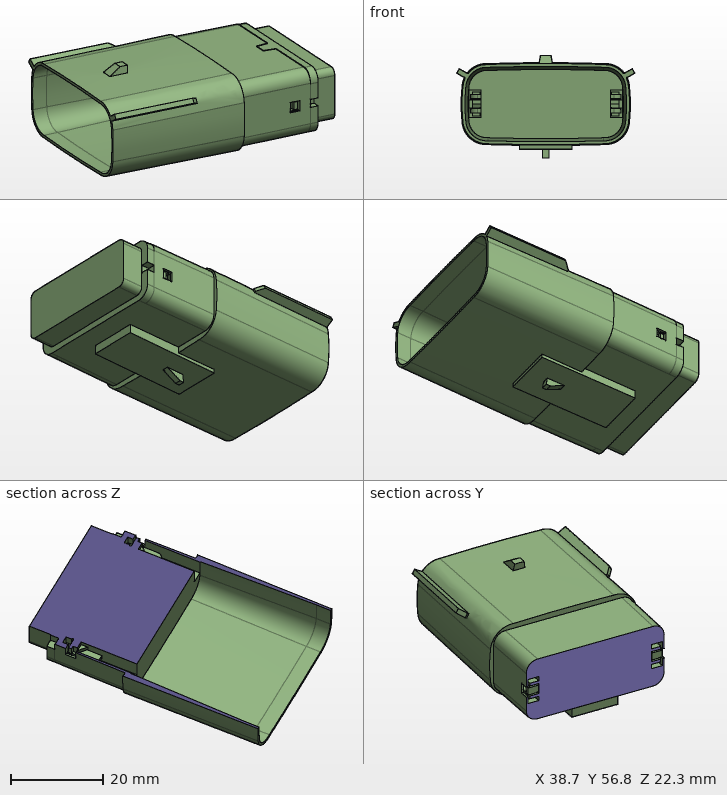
import cadquery as cq
import math

length = 56.75
shroud_rear_y = 32.6
seam_y = 49.6
cap_rear_y = 51.55

shroud_drop = 0.05
mouth_half_width = 18.15
mouth_half_height = 8.8
rear_growth = 0.2
side_bow = 0.2
mouth_straight_x = 12.5
mouth_straight_z = 3.7
rim_wall = 0.6
rim_depth = 3.4
cavity_depth = 31.2
floor_wall = 1.3

body_half_width = 17.15
body_front_growth = 0.2
body_half_height = 7.55
body_corner = 2.85
cap_step = 0.14
plug_width = 30.4
plug_height = 12.05
plug_corner = 1.55
tab_tip_y = 46.65
tab_root_width = 3.7
tab_tip_width = 3.05
cap_notch_height = 1.9
cap_notch_depth = 1.8

pocket_inner_x = 14.1
pocket_outer_x = 16.7
pocket_height = 5.9
pocket_end_y = 46.95
slot_inner_x = 14.3
slot_outer_x = 15.85
slot_height = 5.2
slot_end_y = 48.25
window_size = 2.4
finger_outer_x = 16.3
finger_front_y = 39.7
finger_height = 0.95
finger_mid_z = 1.55
finger_round = 1.5
tooth_height = 1.75
tooth_front_y = 44.7
tooth_step_y = 45.75
tooth_rear_y = 46.6
tooth_ramp_y = 43.15
tooth_low_x = 15.9
tooth_high_x = 16.7

wing_angle = 30.0
wing_thickness = 1.15
wing_reach = 3.4
overall_width = 38.65
wing_tip_x = overall_width / 2
wing_tip_z = 6.65
wing_length = 21.0
wing_bevel = 1.6

clip_top_z = 10.5
clip_base_z = 8.25
clip_rear_base_y = 12.8
clip_rear_top_y = 13.05
clip_crest_y = 11.25
clip_toe_y = 7.65
clip_base_width = 3.1
clip_top_width = 2.3

rail_half_width = 5.75
rail_front_y = 22.25
rail_rear_y = 46.5
rail_front_z = -9.9
rail_rear_z = -9.65
rail_root_z = -6.8
shroud_floor_root_z = -8.5
barb_width = 1.5
overall_height = 22.25
barb_bottom_z = clip_top_z - overall_height
barb_rear_y = 31.6
barb_tip_rear_y = 27.7
barb_tip_front_y = 26.7
barb_front_y = 26.95


def bowed_outline(y, inset, growth=0.0):
    """Closed oblong wire at position y: four gently bowed sides joined by rounded corners."""
    width = mouth_half_width + growth - inset
    height = mouth_half_height + growth - inset
    flat_x = mouth_straight_x
    flat_z = mouth_straight_z + growth
    corner_x = width - side_bow
    corner_z = height - side_bow
    mid_x = flat_x + (corner_x - flat_x) * math.sin(math.pi / 4)
    mid_z = flat_z + (corner_z - flat_z) * math.sin(math.pi / 4)
    plane = cq.Plane(origin=(0, y, -shroud_drop), xDir=(1, 0, 0), normal=(0, -1, 0))
    return (
        cq.Workplane(plane)
        .moveTo(-flat_x, corner_z)
        .threePointArc((0, height), (flat_x, corner_z))
        .threePointArc((mid_x, mid_z), (corner_x, flat_z))
        .threePointArc((width, 0), (corner_x, -flat_z))
        .threePointArc((mid_x, -mid_z), (flat_x, -corner_z))
        .threePointArc((0, -height), (-flat_x, -corner_z))
        .threePointArc((-mid_x, -mid_z), (-corner_x, -flat_z))
        .threePointArc((-width, 0), (-corner_x, flat_z))
        .threePointArc((-mid_x, mid_z), (-flat_x, corner_z))
        .close()
        .wire()
        .val()
    )


def loft(*wires):
    return cq.Workplane(obj=cq.Solid.makeLoft(list(wires), True))


def rounded_bar(front_y, rear_y, width, height, corner, front_growth=0.0):
    """Bar along Y with rounded long edges; front_growth widens its front end on both sides."""
    front = cq.Sketch().rect(width + 2 * front_growth, height).vertices().fillet(corner)
    rear = cq.Sketch().rect(width, height).vertices().fillet(corner)
    rear = rear.moved(cq.Location(cq.Vector(0, 0, front_y - rear_y)))
    return cq.Workplane("XZ", origin=(0, front_y, 0)).placeSketch(front, rear).loft(ruled=True)


def box(x_range, y_range, z_range):
    size = [high - low for low, high in (x_range, y_range, z_range)]
    corner = (x_range[0], y_range[0], z_range[0])
    return cq.Workplane("XY").box(*size, centered=False).translate(corner)


def side_profile(points, width):
    """Extrude a (Y, Z) polygon symmetrically across X."""
    return cq.Workplane("YZ").polyline(points).close().extrude(width / 2, both=True)


def both_sides(shape):
    return shape.union(shape.mirror("YZ"))


def make_shroud():
    return loft(bowed_outline(0, 0), bowed_outline(shroud_rear_y, 0, rear_growth))


def make_cavity():
    """Mouth opening: a straight rim followed by a taper to the flat cavity floor."""
    rim = loft(bowed_outline(0, rim_wall), bowed_outline(rim_depth, rim_wall))
    main = loft(bowed_outline(rim_depth, rim_wall), bowed_outline(cavity_depth, floor_wall))
    return rim.union(main)


def make_body():
    width = 2 * body_half_width
    height = 2 * body_half_height
    return rounded_bar(cavity_depth, seam_y, width, height, body_corner, body_front_growth)


def make_cap():
    """Slightly lower ring behind the body seam, notched on both sides."""
    height = 2 * body_half_height - cap_step
    cap = rounded_bar(seam_y, cap_rear_y, 2 * body_half_width, height, body_corner)
    cap = cap.translate((0, 0, -cap_step / 2))
    notch = box(
        (body_half_width - cap_notch_depth, body_half_width),
        (seam_y, cap_rear_y),
        (-cap_notch_height / 2, cap_notch_height / 2),
    )
    return cap.cut(both_sides(notch))


def make_plug():
    return rounded_bar(cap_rear_y, length, plug_width, plug_height, plug_corner)


def make_tab_recess():
    """Shallow trapezoid in the top of the body, reaching forward from the cap."""
    return (
        cq.Workplane("XY", origin=(0, 0, body_half_height - cap_step))
        .polyline([
            (-tab_root_width / 2, seam_y),
            (-tab_tip_width / 2, tab_tip_y),
            (tab_tip_width / 2, tab_tip_y),
            (tab_root_width / 2, seam_y),
        ])
        .close()
        .extrude(cap_step)
    )


def make_latch_pocket():
    """Space around a latch: a stepped pocket in the cavity floor that opens into a side window.

    Two round-nosed fingers and a stepped tooth, ramped on its lower half, are left standing in it.
    """
    pocket = box(
        (pocket_inner_x, pocket_outer_x),
        (cavity_depth, pocket_end_y),
        (-pocket_height / 2, pocket_height / 2),
    )
    slot = box(
        (slot_inner_x, slot_outer_x),
        (cavity_depth, slot_end_y),
        (-slot_height / 2, slot_height / 2),
    )
    pocket = pocket.union(slot)
    finger = box(
        (pocket_inner_x, finger_outer_x),
        (finger_front_y, slot_end_y),
        (-finger_height / 2, finger_height / 2),
    ).edges("<Y and >X").fillet(finger_round)
    for z in (-finger_mid_z, finger_mid_z):
        pocket = pocket.cut(finger.translate((0, 0, z)))
    window = box(
        (pocket_inner_x, body_half_width + body_front_growth),
        (pocket_end_y - window_size, pocket_end_y),
        (-window_size / 2, window_size / 2),
    )
    tooth_z = (-tooth_height / 2, tooth_height / 2)
    tooth_low = box((pocket_inner_x, tooth_low_x), (tooth_front_y, tooth_step_y), tooth_z)
    tooth_high = box((pocket_inner_x, tooth_high_x), (tooth_step_y, tooth_rear_y), tooth_z)
    tooth_ramp = (
        cq.Workplane("XY", origin=(0, 0, -tooth_height / 2))
        .polyline([
            (pocket_inner_x, tooth_ramp_y),
            (tooth_low_x, tooth_front_y),
            (pocket_inner_x, tooth_front_y),
        ])
        .close()
        .extrude(tooth_height / 2)
    )
    return pocket.union(window).cut(tooth_low).cut(tooth_high).cut(tooth_ramp)


def make_wing():
    """Inclined flat rail at an upper corner, bevelled at its rear outer end."""
    wing = (
        box((-wing_reach, 0), (0, wing_length), (0, wing_thickness))
        .edges(">X and >Y")
        .chamfer(wing_bevel)
    )
    return wing.rotate((0, 0, 0), (0, 1, 0), -wing_angle).translate((wing_tip_x, 0, wing_tip_z))


def make_clip():
    """Ramped catch on top whose sides lean inwards."""
    ramp = side_profile(
        [
            (clip_rear_base_y, clip_base_z),
            (clip_rear_top_y, clip_top_z),
            (clip_crest_y, clip_top_z),
            (clip_toe_y, clip_base_z),
        ],
        clip_base_width,
    )
    leaning_sides = (
        cq.Workplane("XZ")
        .polyline([
            (-clip_base_width / 2, clip_base_z),
            (-clip_top_width / 2, clip_top_z),
            (clip_top_width / 2, clip_top_z),
            (clip_base_width / 2, clip_base_z),
        ])
        .close()
        .extrude(-length)
    )
    return ramp.intersect(leaning_sides)


def make_rail():
    """Wide rail under the body that ends below the shroud, with a narrow barb."""
    rail = side_profile(
        [
            (rail_rear_y, rail_root_z),
            (rail_rear_y, rail_rear_z),
            (rail_front_y, rail_front_z),
            (rail_front_y, shroud_floor_root_z),
            (shroud_rear_y, shroud_floor_root_z),
            (shroud_rear_y, rail_root_z),
        ],
        2 * rail_half_width,
    )
    barb = side_profile(
        [
            (barb_rear_y, rail_rear_z),
            (barb_tip_rear_y, barb_bottom_z),
            (barb_tip_front_y, barb_bottom_z),
            (barb_front_y, rail_rear_z),
        ],
        barb_width,
    )
    return rail.union(barb)


housing = (
    make_shroud()
    .union(make_body())
    .union(make_cap())
    .union(make_plug())
    .union(both_sides(make_wing()))
    .union(make_clip())
    .union(make_rail())
)
result = (
    housing
    .cut(make_cavity())
    .cut(both_sides(make_latch_pocket()))
    .cut(make_tab_recess())
)